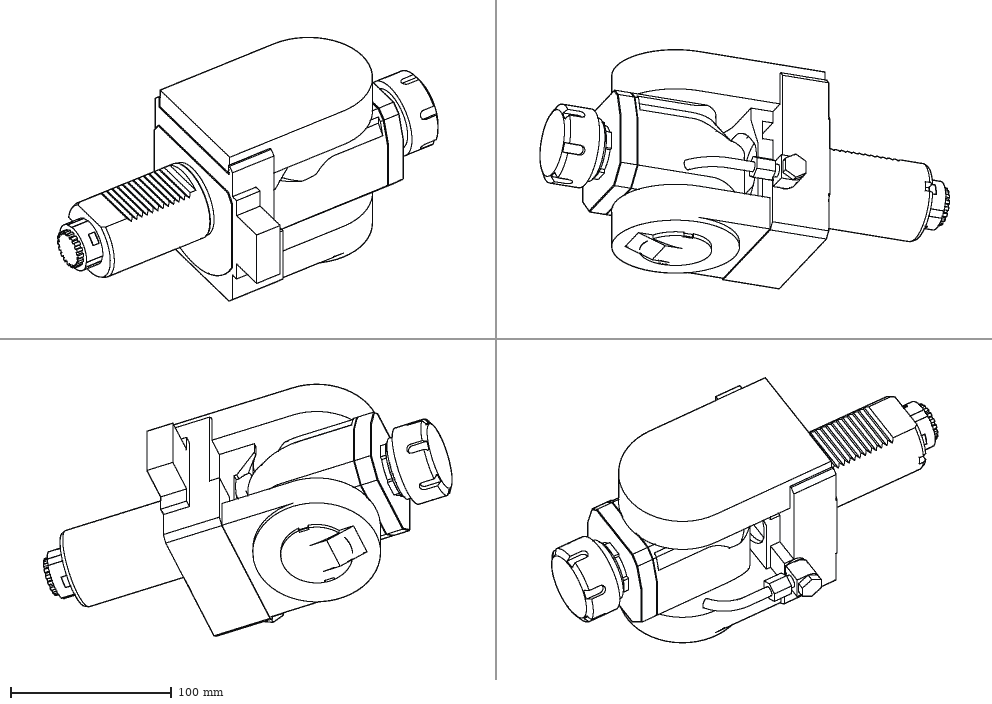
import cadquery as cq
import math


block_half_width = 44.3
block_top = 53.7
block_bottom = -55.0
block_depth = 31.0
block_top_chamfer = 3.1
block_bottom_chamfer = 4.0
foot_depth = 37.7
foot_top = -12.3
pad_radius = 51.0
pad_thickness = 0.8
pad_top = 32.0

fork_radius = 80.0 / 2
pivot_y = 85.5
gap_half_height = 32.7
upper_arm_top = 46.4
lid_top = 59.7
lid_recess = 0.8
lower_arm_bottom = -54.2
disc_bottom = -57.4
web_front = 40.9
web_top_front = 45.5
web_slope_bottom = 9.5
window_bottom = 13.0
web_half_width = 27.5
gusset_front = 54.5
gusset_tip_front = 42.7

cap_radius = 22.5
cap_rim_bottom = -60.0
cap_bottom = -63.5
cap_flat_radius = 11.3
cap_tail_length = 29.3
cap_slot_width = 6.3
cap_slot_depth = 1.5

stop_plate_side = 49.0
stop_plate_half_height = 31.5
stop_side = 72.0
stop_half_height = 19.5
stop_depth = 17.5

head_half_width = 65.2 / 2
head_front = 135.1
head_plate_back = 123.4
head_plate_chamfer = 0.5
head_round_y = 74.0
head_top_half = 21.5
head_shoulder_x = 27.5
head_shoulder_z = 27.2
head_side_top = 10.0
head_bottom_chamfer = 11.3
relief_radius = 25.1
relief_knee_z = 24.4
relief_floor_z = 7.3
relief_floor_radius = 38.5
relief_end = 121.0

spindle_radius = 36.0 / 2
spindle_groove_radius = 16.0
spindle_groove_end = 138.8
spindle_lug_count = 4
spindle_lug_radius = 17.3
spindle_lug_width = 11.0
collar_radius = 40.0 / 2
collar_start = 140.6
nut_radius = 50.0 / 2
nut_start = 146.1
nut_end = 168.1
nut_chamfer_length = 2.5
nut_chamfer_depth = 4.0
nut_slot_count = 6
nut_slot_first_angle = 30
nut_slot_width = 6.0
nut_slot_depth = 3.5
nut_slot_length = 13.4

shank_radius = 50.0 / 2
neck_radius = 48.7 / 2
neck_length = 4.0
shank_end = -77.8
shank_chamfer_length = 2.4
shank_chamfer_depth = 1.0
shank_flat_z = 20.2
shank_flat_start = -8.0
tooth_count = 12
tooth_pitch = 4.0
tooth_depth = 1.8
first_tooth = -12.3
key_width = 6.0
key_length = 5.2
key_floor = 17.0

drive_radius = 15.5
drive_end = -89.8
notch_count = 3
notch_first_angle = 45
notch_width = 7.5
notch_start = -79.0
notch_length = 4.5
notch_depth = 0.8
strip_width = 5.0
strip_depth = 0.4
spline_root_radius = 10.5
spline_tip_radius = 12.0
spline_end = -93.8
spline_count = 18
spline_first_angle = 90
spline_tooth_width = 2.0

fitting_y = 30.0
fitting_z = -20.0
fitting_radius = 16.0 / 2
fitting_neck_radius = 7.3
fitting_neck_side = -46.4
fitting_hex_side = -60.2
fitting_end = -64.7
pipe_x = -53.2
pipe_radius = 6.3 / 2
pipe_collar_radius = 8.0 / 2
pipe_nut_start = 41.6
pipe_nut_end = 54.2
pipe_nut_diameter = 14.5
pipe_bend_start = 70.2
pipe_bend_radius = 28.3
pipe_bend_angle = math.radians(56)


def box(x0, x1, y0, y1, z0, z1):
    """Box between two opposite corners."""
    return cq.Workplane("XY").box(x1 - x0, y1 - y0, z1 - z0, centered=False).translate((x0, y0, z0))


def y_cylinder(radius, y0, y1):
    """Cylinder on the shank axis."""
    return cq.Workplane("XZ", origin=(0, y0, 0)).circle(radius).extrude(y0 - y1)


def y_revolve(points):
    """Turned shape on the shank axis, from (radius, y) points."""
    return cq.Workplane("XY").polyline(points).close().revolve(360, (0, 0), (0, 1))


def side_profile(points, x0, x1):
    """Prism along X, from (y, z) points."""
    return cq.Workplane("YZ", origin=(x0, 0, 0)).polyline(points).close().extrude(x1 - x0)


def around_y(shape, count, first_angle):
    """Copies of a shape lying at +X, spread evenly around the shank axis."""
    copies = cq.Workplane("XY")
    for index in range(count):
        angle = first_angle + index * 360 / count
        copies = copies.add(shape.rotate((0, 0, 0), (0, 1, 0), -angle))
    return copies.combine()


def stadium(radius, centre_y, flat_y, round_sign, z0, z1):
    """Plate with straight sides from flat_y to centre_y, closed by a half round."""
    outline = (
        cq.Workplane("XY", origin=(0, 0, z0))
        .moveTo(-radius, flat_y)
        .lineTo(-radius, centre_y)
        .threePointArc((0, centre_y + round_sign * radius), (radius, centre_y))
        .lineTo(radius, flat_y)
        .close()
    )
    return outline.extrude(z1 - z0)


def make_block():
    width = block_half_width
    top_edge = block_top - block_top_chamfer
    bottom_edge = block_bottom + block_bottom_chamfer
    outline = [
        (-width, bottom_edge),
        (-width + block_bottom_chamfer, block_bottom),
        (width - block_bottom_chamfer, block_bottom),
        (width, bottom_edge),
        (width, top_edge),
        (width - block_top_chamfer, block_top),
        (-width + block_top_chamfer, block_top),
        (-width, top_edge),
    ]
    block = cq.Workplane("XZ").polyline(outline).close().extrude(-foot_depth)
    block = block.cut(box(-width, width, block_depth, foot_depth, foot_top, block_top))
    block = block.cut(box(-fork_radius, fork_radius, 0, lid_recess, upper_arm_top, block_top))
    pad = y_cylinder(pad_radius, -pad_thickness, 0)
    pad_limits = box(-width, width, -pad_thickness, 0, -pad_radius, pad_top)
    return block.union(pad.intersect(pad_limits))


def make_stop():
    half_height = stop_plate_half_height
    plate = box(block_half_width, stop_plate_side, 0, stop_depth, -half_height, half_height)
    lug = box(stop_plate_side, stop_side, 0, stop_depth, -stop_half_height, stop_half_height)
    return plate.union(lug)


def make_web():
    """Wall that joins the fork arms to the block, with the bore of the drive shaft."""
    profile = [
        (block_depth, -gap_half_height),
        (web_front, -gap_half_height),
        (web_front, web_slope_bottom),
        (web_top_front, relief_knee_z),
        (web_top_front, gap_half_height),
        (block_depth, gap_half_height),
    ]
    web = side_profile(profile, -web_half_width, web_half_width)
    web = web.union(make_gusset())
    web = web.cut(y_cylinder(shank_radius, block_depth, gusset_front))
    return web.cut(box(-web_half_width, 0, block_depth, foot_depth, window_bottom, shank_radius))


def make_gusset():
    """Upper stiffener on the +X side of the web, hollowed out around the pivot to clear the head."""
    profile = [
        (block_depth, relief_floor_z),
        (gusset_tip_front, relief_floor_z),
        (gusset_front, relief_knee_z),
        (gusset_front, gap_half_height),
        (block_depth, gap_half_height),
    ]
    sweep_section = [
        (0, relief_floor_z),
        (pivot_y - web_front, relief_floor_z),
        (pivot_y - web_front, web_slope_bottom),
        (pivot_y - web_top_front, relief_knee_z),
        (pivot_y - web_top_front, gap_half_height),
        (0, gap_half_height),
    ]
    sweep = cq.Workplane("XZ").polyline(sweep_section).close().revolve(360, (0, 0), (0, 1))
    return side_profile(profile, 0, web_half_width).cut(sweep.translate((0, pivot_y, 0)))


def make_fork():
    upper = stadium(fork_radius, pivot_y, block_depth, 1, gap_half_height, upper_arm_top)
    lid = stadium(fork_radius, pivot_y, lid_recess, 1, upper_arm_top, lid_top)
    lower = box(-fork_radius, fork_radius, block_depth, pivot_y, lower_arm_bottom, -gap_half_height)
    disc = (
        cq.Workplane("XY", origin=(0, pivot_y, disc_bottom))
        .circle(fork_radius)
        .extrude(-gap_half_height - disc_bottom)
    )
    return upper.union(lid).union(lower).union(disc).union(make_web())


def make_cap():
    half_section = [
        (0, disc_bottom),
        (cap_radius, disc_bottom),
        (cap_radius, cap_rim_bottom),
        (cap_flat_radius, cap_bottom),
        (0, cap_bottom),
    ]
    cap = cq.Workplane("XZ").polyline(half_section).close().revolve(360, (0, 0), (0, 1))
    slot_floor = cap_radius - cap_slot_depth
    half_slot = cap_slot_width / 2
    for x0, x1 in ((-cap_radius, -slot_floor), (slot_floor, cap_radius)):
        cap = cap.cut(box(x0, x1, -half_slot, half_slot, cap_rim_bottom, disc_bottom))
    tail = [(0, disc_bottom), (cap_tail_length, disc_bottom), (cap_flat_radius, cap_bottom), (0, cap_bottom)]
    cap = cap.union(side_profile(tail, -cap_flat_radius, cap_flat_radius))
    return cap.translate((0, pivot_y, 0))


def make_relief():
    """Clearance cut on the upper head corners: straight along the sides, turned about the pivot behind."""
    outside = 2 * head_half_width
    section = [
        (relief_radius, gap_half_height),
        (relief_radius, relief_knee_z),
        (relief_floor_radius, relief_floor_z),
        (outside, relief_floor_z),
        (outside, gap_half_height),
    ]
    turned = (
        cq.Workplane("XZ")
        .polyline(section)
        .close()
        .revolve(360, (0, 0), (0, 1))
        .intersect(box(-outside, outside, -outside, 0, -outside, outside))
        .translate((0, pivot_y, 0))
    )
    side = cq.Workplane("XZ", origin=(0, pivot_y, 0)).polyline(section).close().extrude(pivot_y - relief_end)
    return turned.union(side).union(side.mirror("YZ"))


def make_head():
    right_side = [
        (head_half_width - head_bottom_chamfer, -gap_half_height),
        (head_half_width, -gap_half_height + head_bottom_chamfer),
        (head_half_width, head_side_top),
        (head_shoulder_x, head_shoulder_z),
        (head_top_half, gap_half_height),
    ]
    left_side = [(-x, z) for x, z in reversed(right_side)]
    outline = right_side + left_side
    back = head_round_y - head_half_width
    body = cq.Workplane("XZ", origin=(0, back, 0)).polyline(outline).close().extrude(back - head_plate_back)
    rounding = stadium(head_half_width, head_round_y, head_front, -1, -gap_half_height, gap_half_height)
    plate_start = cq.Workplane("XZ", origin=(0, head_plate_back, 0))
    plate = plate_start.polyline(outline).close().extrude(head_plate_back - head_front)
    plate = plate.faces("<Y or >Y").chamfer(head_plate_chamfer)
    return body.intersect(rounding).cut(make_relief()).union(plate)


def make_spindle():
    chamfer_start = nut_end - nut_chamfer_length
    spindle = y_revolve([
        (0, head_front),
        (spindle_groove_radius, head_front),
        (spindle_groove_radius, spindle_groove_end),
        (spindle_radius, spindle_groove_end),
        (spindle_radius, collar_start),
        (collar_radius, collar_start),
        (collar_radius, nut_start),
        (nut_radius, nut_start),
        (nut_radius, chamfer_start),
        (nut_radius - nut_chamfer_depth, nut_end),
        (0, nut_end),
    ])
    half_lug = spindle_lug_width / 2
    lug = box(0, spindle_lug_radius, head_front, spindle_groove_end, -half_lug, half_lug)
    spindle = spindle.union(around_y(lug, spindle_lug_count, 0))
    half_slot = nut_slot_width / 2
    slot_round_y = nut_end - nut_slot_length + half_slot
    slot_floor = nut_radius - nut_slot_depth
    slot = box(slot_floor, nut_radius, slot_round_y, nut_end, -half_slot, half_slot)
    slot_round = (
        cq.Workplane("YZ", origin=(slot_floor, slot_round_y, 0)).circle(half_slot).extrude(nut_slot_depth)
    )
    return spindle.cut(around_y(slot.union(slot_round), nut_slot_count, nut_slot_first_angle))


def make_shank():
    shank = y_revolve([
        (0, 0),
        (neck_radius, 0),
        (neck_radius, -neck_length),
        (shank_radius, -neck_length),
        (shank_radius, shank_end + shank_chamfer_length),
        (shank_radius - shank_chamfer_depth, shank_end),
        (0, shank_end),
    ])
    above_flat = box(-shank_radius, shank_radius, shank_end, shank_flat_start, shank_flat_z, shank_radius)
    shank = shank.cut(above_flat)
    for index in range(tooth_count):
        start = first_tooth - index * tooth_pitch
        groove = [
            (start, shank_flat_z),
            (start - tooth_pitch / 2, shank_flat_z - tooth_depth),
            (start - tooth_pitch, shank_flat_z),
        ]
        shank = shank.cut(side_profile(groove, -shank_radius, shank_radius))
    half_key = key_width / 2
    return shank.cut(box(-shank_radius, -key_floor, shank_end, shank_end + key_length, -half_key, half_key))


def make_drive_end():
    drive = y_cylinder(drive_radius, drive_end, shank_end)
    half_notch = notch_width / 2
    notch_floor = drive_radius - notch_depth
    notch_end = notch_start - notch_length
    notch = box(notch_floor, drive_radius, notch_end, notch_start, -half_notch, half_notch)
    half_strip = strip_width / 2
    strip = box(drive_radius - strip_depth, drive_radius, drive_end, shank_end, -half_strip, half_strip)
    drive = drive.cut(around_y(notch, notch_count, notch_first_angle))
    drive = drive.cut(around_y(strip, notch_count, notch_first_angle + 180 / notch_count))
    half_tooth = spline_tooth_width / 2
    tooth = box(0, spline_tip_radius, spline_end, drive_end, -half_tooth, half_tooth)
    spline = y_cylinder(spline_root_radius, spline_end, drive_end)
    return drive.union(spline).union(around_y(tooth, spline_count, spline_first_angle))


def make_coolant_line():
    def along_x(x):
        return cq.Workplane("YZ", origin=(x, fitting_y, fitting_z))

    def along_y(y):
        return cq.Workplane("XZ", origin=(pipe_x, y, fitting_z))

    neck_span = -block_half_width - fitting_neck_side
    neck = along_x(fitting_neck_side).circle(fitting_neck_radius).extrude(neck_span)
    body_length = fitting_neck_side - fitting_hex_side
    body = along_x(fitting_hex_side).circle(fitting_radius).extrude(body_length)
    square = along_x(fitting_hex_side).rect(fitting_radius, 2 * fitting_radius).extrude(body_length)
    body = body.union(square.translate((0, fitting_radius / 2, 0)))
    hex_length = fitting_hex_side - fitting_end
    hex_head = along_x(fitting_end).polygon(6, 2 * fitting_radius).extrude(hex_length)
    hex_head = hex_head.rotate((0, fitting_y, fitting_z), (1, fitting_y, fitting_z), 90)

    collar = along_y(fitting_y).circle(pipe_collar_radius).extrude(fitting_y - pipe_nut_start)
    nut = along_y(pipe_nut_start).polygon(6, pipe_nut_diameter).extrude(pipe_nut_start - pipe_nut_end)
    nut = nut.rotate((pipe_x, 0, fitting_z), (pipe_x, 1, fitting_z), 90)

    def bend_point(angle):
        x = pipe_x + pipe_bend_radius * (1 - math.cos(angle))
        return x, pipe_bend_start + pipe_bend_radius * math.sin(angle)

    path = (
        cq.Workplane("XY", origin=(0, 0, fitting_z))
        .moveTo(pipe_x, pipe_nut_start)
        .lineTo(pipe_x, pipe_bend_start)
        .threePointArc(bend_point(pipe_bend_angle / 2), bend_point(pipe_bend_angle))
    )
    pipe = along_y(pipe_nut_start).circle(pipe_radius).sweep(path)
    return neck.union(body).union(hex_head).union(collar).union(nut).union(pipe)


result = make_block()
result = result.union(make_stop())
result = result.union(make_fork())
result = result.union(make_cap())
result = result.union(make_head())
result = result.union(make_spindle())
result = result.union(make_shank())
result = result.union(make_drive_end())
result = result.union(make_coolant_line())